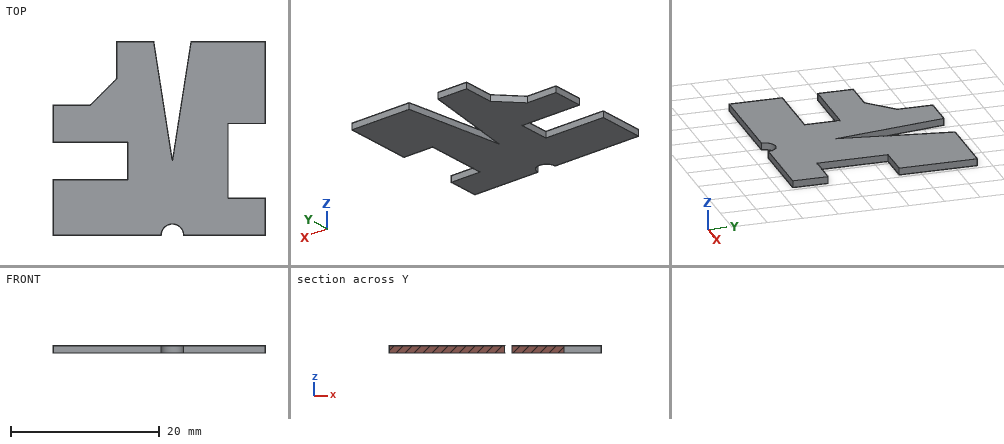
import cadquery as cq
import math

thickness = 1.0
edge_length = 5.0
bevel_angle = 45.0

lower_left_height = 7.5
left_slot_depth = 10.0
left_slot_width = edge_length

vee_width = edge_length
vee_depth = 16.0
upper_right_width = 10.0

right_slot_bottom = edge_length
right_slot_width = 10.0
right_slot_depth = edge_length

bottom_notch_radius = 1.5

left_slot_top = lower_left_height + left_slot_width
shoulder_y = left_slot_top + edge_length
bevel_start_x = edge_length
bevel_end_x = bevel_start_x + edge_length * math.cos(math.radians(bevel_angle))
bevel_end_y = shoulder_y + edge_length * math.sin(math.radians(bevel_angle))
height = bevel_end_y + edge_length
vee_left_x = bevel_end_x + edge_length
vee_center_x = vee_left_x + vee_width / 2
width = vee_left_x + vee_width + upper_right_width


def make_blank():
    """Plate with the bevelled step at its upper left corner."""
    return (
        cq.Workplane("XY")
        .moveTo(0, 0)
        .lineTo(width, 0)
        .lineTo(width, height)
        .lineTo(bevel_end_x, height)
        .lineTo(bevel_end_x, bevel_end_y)
        .lineTo(bevel_start_x, shoulder_y)
        .lineTo(0, shoulder_y)
        .close()
        .extrude(thickness)
    )


def make_slot(x, y, length, slot_width):
    """Rectangular cutter with its lower left corner at (x, y)."""
    return cq.Workplane("XY").rect(length, slot_width, centered=False).extrude(thickness).translate((x, y, 0))


def make_vee():
    """Triangular cutter opening at the top edge."""
    return (
        cq.Workplane("XY")
        .moveTo(vee_left_x, height)
        .lineTo(vee_center_x, height - vee_depth)
        .lineTo(vee_left_x + vee_width, height)
        .close()
        .extrude(thickness)
    )


def make_bottom_notch():
    """Round cutter centred on the bottom edge, in line with the V notch."""
    return cq.Workplane("XY").center(vee_center_x, 0).circle(bottom_notch_radius).extrude(thickness)


left_slot = make_slot(0, lower_left_height, left_slot_depth, left_slot_width)
right_slot = make_slot(width - right_slot_depth, right_slot_bottom, right_slot_depth, right_slot_width)

result = make_blank().cut(left_slot).cut(right_slot).cut(make_vee()).cut(make_bottom_notch())